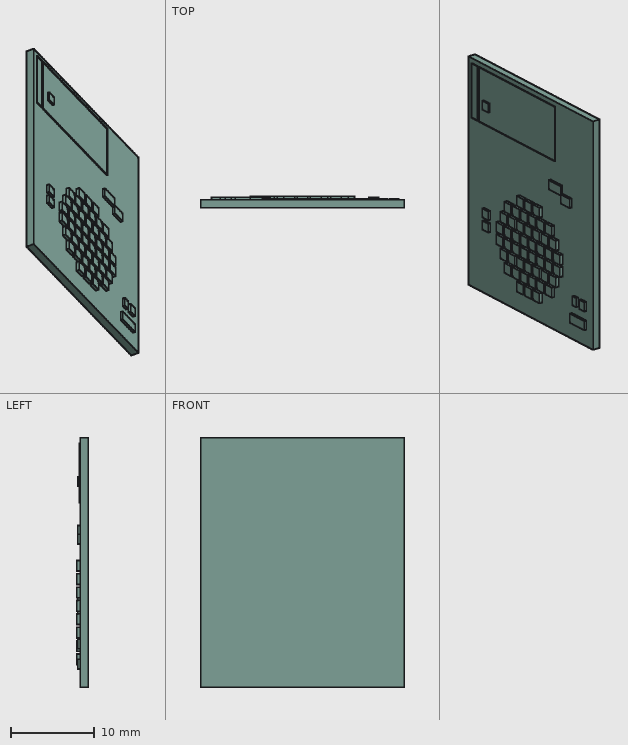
import cadquery as cq

BOARD_WIDTH = 24.5
BOARD_THICKNESS = 1.0
BOARD_HEIGHT = 30.0

PAD_RISE = 0.41
CHIP_RISE = 0.3
PATCH_RISE = 0.1

PAD_SIZE = 1.3
PAD_PITCH = 1.607
PADS_PER_ROW = (3, 6, 7, 8, 8, 7, 6, 3)
FIELD_CENTER_X = 12.25
FIELD_CENTER_Z = 9.0

CHIP_SIZE = 1.16
CHIP_COLUMN_X = 20.8
UPPER_CHIP_Z = 24.75
FOURTH_ROW_Z = FIELD_CENTER_Z + PAD_PITCH / 2
LOWER_CHIP_ZS = (FOURTH_ROW_Z + PAD_PITCH / 2, FOURTH_ROW_Z - PAD_PITCH / 2)

LEFT_CHIP_HEIGHT = 1.2
LEFT_CHIPS = (
    (6.0, 8.35, 18.27),
    (4.2, 6.0, 17.22),
    (1.3, 2.35, 4.65),
    (2.95, 3.7, 4.65),
    (1.3, 4.2, 2.2),
)

PATCH_BOTTOM = 22.2
PATCH_TOP = 29.35
PATCHES = ((7.4, 22.4), (22.65, 23.8))


def raised_block(left, right, bottom, top, rise):
    """Block over a rectangle of the board, rooted at the -Y face and standing `rise` above the +Y face."""
    return cq.Workplane("XY").box(
        right - left, BOARD_THICKNESS + rise, top - bottom, centered=False
    ).translate((left, 0, bottom))


def raised_square(center_x, center_z, size, rise):
    half = size / 2
    return raised_block(center_x - half, center_x + half, center_z - half, center_z + half, rise)


def pad_field():
    pads = []
    top_row_z = FIELD_CENTER_Z + (len(PADS_PER_ROW) - 1) / 2 * PAD_PITCH
    for row, count in enumerate(PADS_PER_ROW):
        row_z = top_row_z - row * PAD_PITCH
        first_x = FIELD_CENTER_X - (count - 1) / 2 * PAD_PITCH
        for column in range(count):
            pads.append(raised_square(first_x + column * PAD_PITCH, row_z, PAD_SIZE, PAD_RISE))
    return pads


def chips():
    blocks = []
    for center_z in (UPPER_CHIP_Z, *LOWER_CHIP_ZS):
        blocks.append(raised_square(CHIP_COLUMN_X, center_z, CHIP_SIZE, CHIP_RISE))
    for left, right, bottom in LEFT_CHIPS:
        blocks.append(raised_block(left, right, bottom, bottom + LEFT_CHIP_HEIGHT, CHIP_RISE))
    return blocks


def patches():
    return [raised_block(left, right, PATCH_BOTTOM, PATCH_TOP, PATCH_RISE) for left, right in PATCHES]


result = cq.Workplane("XY").box(BOARD_WIDTH, BOARD_THICKNESS, BOARD_HEIGHT, centered=False)
for block in pad_field() + chips() + patches():
    result = result.union(block)